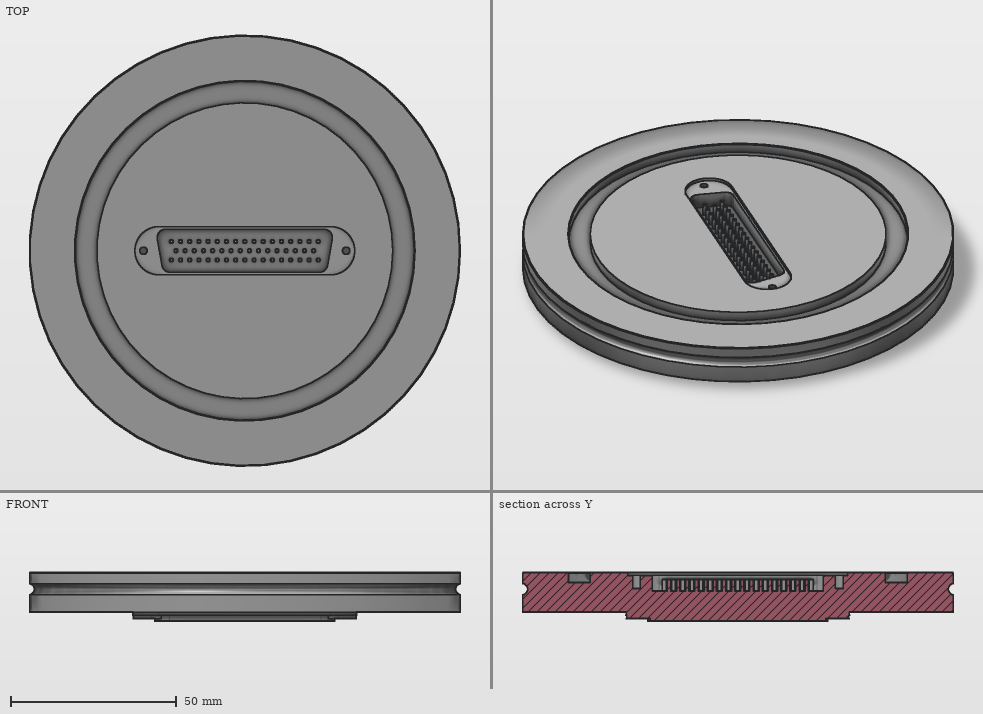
import cadquery as cq
import math

flange_diameter = 130.0
flange_radius = flange_diameter / 2
flange_height = 12.0
rim_chamfer = 0.3

rim_groove_radius = 1.7
rim_groove_depth = 1.4
rim_groove_z = 6.9

recess_outer_diameter = 102.2
recess_inner_diameter = 89.2
recess_depth = 3.0
recess_chamfer = 0.3

pocket_length = 66.3
pocket_width = 14.6
pocket_depth = 0.9

screw_hole_diameter = 2.2
screw_hole_spacing = 61.1
screw_hole_depth = 3.9

socket_top_length = 53.8
socket_width = 13.0
socket_depth = 4.7
socket_corner_radius = 2.6
d_side_angle = 10.0

pocket_floor = flange_height - pocket_depth
socket_floor = pocket_floor - socket_depth

pin_diameter = 1.12
pin_tip_diameter = 0.94
pin_tip_chamfer = (pin_diameter - pin_tip_diameter) / 2
pin_height = 3.5
pin_pitch = 2.77
pin_row_pitch = 2.8
pins_per_row = (17, 16, 17)

lip_length = 67.5
lip_width = 16.0
lip_bottom = -0.9
plate_length = 67.2
plate_width = 10.9
plate_bottom = -2.0
shell_top_length = 55.4
shell_width = 13.3
shell_corner_radius = 3.0
shell_bottom = -2.7


def stadium(length, width, bottom, top):
    """Plate with fully rounded ends, long along X."""
    return cq.Workplane("XY").workplane(offset=bottom).slot2D(length, width).extrude(top - bottom)


def d_prism(top_length, width, corner_radius, bottom, top):
    """D-connector outline, long side at +Y, with all four corners rounded."""
    half_long = top_length / 2
    half_short = half_long - width * math.tan(math.radians(d_side_angle))
    outline = [
        (-half_long, width / 2),
        (half_long, width / 2),
        (half_short, -width / 2),
        (-half_short, -width / 2),
    ]
    prism = cq.Workplane("XY").workplane(offset=bottom).polyline(outline).close().extrude(top - bottom)
    return prism.edges("|Z").fillet(corner_radius)


def flange():
    disc = cq.Workplane("XY").circle(flange_radius).extrude(flange_height)
    disc = disc.faces(">Z").edges().chamfer(rim_chamfer)
    seal_recess = (
        cq.Workplane("XY")
        .workplane(offset=flange_height - recess_depth)
        .circle(recess_outer_diameter / 2)
        .circle(recess_inner_diameter / 2)
        .extrude(recess_depth)
    )
    recess_edge = cq.selectors.RadiusNthSelector(1)
    disc = disc.cut(seal_recess)
    disc = disc.faces(">Z").edges(recess_edge).chamfer(recess_chamfer)
    groove_floor_radius = flange_radius - rim_groove_depth
    groove_centre_radius = groove_floor_radius + rim_groove_radius
    groove_top = (groove_centre_radius, rim_groove_z + rim_groove_radius)
    groove_bottom = (groove_centre_radius, rim_groove_z - rim_groove_radius)
    rim_groove = (
        cq.Workplane("XZ")
        .moveTo(*groove_bottom)
        .radiusArc((groove_floor_radius, rim_groove_z), rim_groove_radius)
        .radiusArc(groove_top, rim_groove_radius)
        .close()
        .revolve(360, (0, 0), (0, 1))
    )
    return disc.cut(rim_groove)


def connector_body():
    lip = stadium(lip_length, lip_width, lip_bottom, 0)
    plate = stadium(plate_length, plate_width, plate_bottom, 0)
    shell = d_prism(shell_top_length, shell_width, shell_corner_radius, shell_bottom, 0)
    return lip.union(plate).union(shell)


def connector_cuts():
    pocket = stadium(pocket_length, pocket_width, pocket_floor, flange_height)
    socket = d_prism(socket_top_length, socket_width, socket_corner_radius, socket_floor, pocket_floor)
    screw_holes = (
        cq.Workplane("XY")
        .workplane(offset=pocket_floor)
        .pushPoints([(-screw_hole_spacing / 2, 0), (screw_hole_spacing / 2, 0)])
        .circle(screw_hole_diameter / 2)
        .extrude(-screw_hole_depth)
    )
    return pocket.union(socket).union(screw_holes)


def pins():
    centres = []
    middle_row = (len(pins_per_row) - 1) / 2
    for row, count in enumerate(pins_per_row):
        y = (middle_row - row) * pin_row_pitch
        for column in range(count):
            x = (column - (count - 1) / 2) * pin_pitch
            centres.append((x, y))
    return (
        cq.Workplane("XY")
        .workplane(offset=socket_floor)
        .pushPoints(centres)
        .circle(pin_diameter / 2)
        .extrude(pin_height)
        .faces(">Z")
        .edges()
        .chamfer(pin_tip_chamfer)
    )


result = flange().union(connector_body()).cut(connector_cuts()).union(pins())